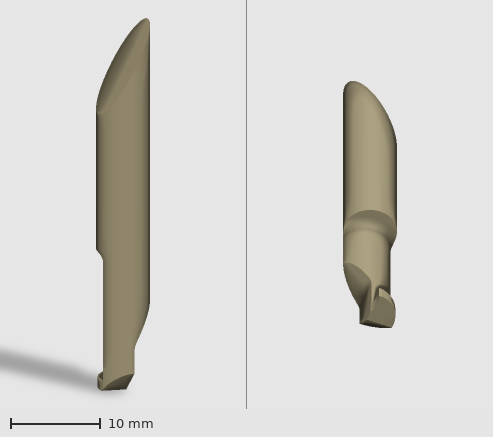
import cadquery as cq
import math


SHANK_RADIUS = 3.0
TOTAL_HEIGHT = 42.44
TOP_ANGLE = math.radians(60)
BIG = 3 * SHANK_RADIUS

NECK_AXIS_X = 2.05
NECK_RADIUS = SHANK_RADIUS
NECK_EDGE_X = NECK_AXIS_X / 2
SHOULDER_Z = 16.15
SHOULDER_FILLET = 1.0
FOOT_FILLET = 0.15

FLAT_Y = 0.17
FLAT_TOP_Z = 5.55
RUNOUT_ANGLE = math.radians(30)
RUNOUT_CORNER_RADIUS = 2.0

FOOT_CHAMFER = 2.45

FOOT_HEIGHT = 1.5
CLEARANCE_ANGLE = math.radians(4)
LAND_DEPTH = 0.32
TIP_FLANK_RADIUS = SHANK_RADIUS
FOOT_FLANK_RADIUS = 3.5
JOINT_X = -1.1
JOINT_FLANK_Y = -2.6

GROOVE_RADIUS = 3.0
GROOVE_AXIS_X = -2.0
GROOVE_RUNOUT = 0.3
FOOT_ZONE_TOP = FOOT_HEIGHT + GROOVE_RUNOUT


def through_x(points):
    """Prism over a closed outline of (Y, Z) points, reaching across the tool along X."""
    return cq.Workplane("YZ").polyline(points).close().extrude(BIG, both=True)


def through_y(points):
    """Prism over a closed outline of (X, Z) points, reaching across the tool along Y."""
    return cq.Workplane("XZ").polyline(points).close().extrude(BIG, both=True)


def foot_zone(right_x):
    """Block around the foot, from well below it to just above it, ending at the plane X = right_x."""
    block = cq.Workplane().box(2 * BIG, 2 * BIG, BIG + FOOT_ZONE_TOP, centered=(False, True, False))
    return block.translate((right_x - 2 * BIG, 0, -BIG))


def below_foot_top():
    """Everything below the foot's top face, which falls toward -Y."""
    taper = BIG * math.tan(CLEARANCE_ANGLE)
    return through_x([
        (BIG, FOOT_HEIGHT + taper),
        (-BIG, FOOT_HEIGHT - taper),
        (-BIG, -BIG),
        (BIG, -BIG),
    ])


def top_cutter():
    """Everything above the sloped top face, which is highest at +Y."""
    drop = (SHANK_RADIUS + BIG) * math.tan(TOP_ANGLE)
    return through_x([
        (SHANK_RADIUS, TOTAL_HEIGHT),
        (-BIG, TOTAL_HEIGHT - drop),
        (-BIG, TOTAL_HEIGHT + BIG),
        (SHANK_RADIUS, TOTAL_HEIGHT + BIG),
    ])


def neck_cutter():
    """Ring around the neck axis, rounded where the neck runs into the shoulder and the foot."""
    ring = (
        cq.Workplane("XZ")
        .moveTo(NECK_RADIUS, 0)
        .lineTo(NECK_RADIUS, SHOULDER_Z - SHOULDER_FILLET)
        .radiusArc((NECK_RADIUS + SHOULDER_FILLET, SHOULDER_Z), SHOULDER_FILLET)
        .lineTo(NECK_RADIUS + BIG, SHOULDER_Z)
        .lineTo(NECK_RADIUS + BIG, 0)
        .close()
        .revolve(360, (0, 0, 0), (0, 1, 0))
        .translate((NECK_AXIS_X, 0, 0))
        .cut(below_foot_top())
    )
    foot_edge = cq.selectors.NearestToPointSelector((NECK_AXIS_X, 0, FOOT_HEIGHT))
    return ring.edges(foot_edge).fillet(FOOT_FILLET)


def back_cutter():
    """Material behind the flat, with its sloped run-out toward +Y."""
    rise = (BIG - FLAT_Y) / math.tan(RUNOUT_ANGLE)
    cutter = through_x([
        (FLAT_Y, -BIG),
        (FLAT_Y, FLAT_TOP_Z),
        (BIG, FLAT_TOP_Z + rise),
        (BIG, -BIG),
    ])
    corner = cq.selectors.NearestToPointSelector((0, FLAT_Y, FLAT_TOP_Z))
    return cutter.edges(corner).fillet(RUNOUT_CORNER_RADIUS)


def chamfer_cutter():
    """Corner below the 45 degree chamfer."""
    return through_y([
        (SHANK_RADIUS, FOOT_CHAMFER),
        (SHANK_RADIUS - FOOT_CHAMFER - BIG, -BIG),
        (BIG, -BIG),
        (BIG, FOOT_CHAMFER),
    ])


def underside_cutter():
    """Everything below the underside, which rises from Z = 0 at the cutting edge toward -Y."""
    rise = BIG * math.tan(CLEARANCE_ANGLE)
    return through_x([(BIG, 0), (0, 0), (-BIG, rise), (-BIG, -BIG), (BIG, -BIG)])


def flank_cutter():
    """Everything around the foot that lies outside its flanks."""
    edge_y = -math.sqrt(SHANK_RADIUS**2 - NECK_EDGE_X**2)
    blade = (
        cq.Workplane()
        .workplane(offset=-BIG)
        .moveTo(-SHANK_RADIUS, BIG)
        .lineTo(-SHANK_RADIUS, -LAND_DEPTH)
        .radiusArc((JOINT_X, JOINT_FLANK_Y), -TIP_FLANK_RADIUS)
        .radiusArc((NECK_EDGE_X, edge_y), -FOOT_FLANK_RADIUS)
        .lineTo(NECK_EDGE_X, BIG)
        .close()
        .extrude(BIG + FOOT_ZONE_TOP)
    )
    return foot_zone(NECK_EDGE_X).cut(blade)


def groove_cutter():
    """Upright cylinder through the cutting edge, with a 45 degree upper end."""
    axis_y = math.sqrt(GROOVE_RADIUS**2 - (SHANK_RADIUS + GROOVE_AXIS_X) ** 2)
    return (
        cq.Workplane()
        .center(GROOVE_AXIS_X, axis_y)
        .circle(GROOVE_RADIUS)
        .extrude(FOOT_ZONE_TOP)
        .faces(">Z")
        .chamfer(GROOVE_RUNOUT)
    )


def make_blank():
    """Whole tool before it is parted into shank and tip; the tip corner is squared out to -X."""
    tip_stock = cq.Workplane().rect(2 * SHANK_RADIUS, 2 * SHANK_RADIUS).extrude(FOOT_ZONE_TOP)
    tip_stock = tip_stock.intersect(foot_zone(JOINT_X)).intersect(below_foot_top())
    blank = cq.Workplane().circle(SHANK_RADIUS).extrude(TOTAL_HEIGHT).union(tip_stock)
    cutters = [
        top_cutter(),
        neck_cutter(),
        back_cutter(),
        chamfer_cutter(),
        underside_cutter(),
        flank_cutter(),
        groove_cutter(),
    ]
    for cutter in cutters:
        blank = blank.cut(cutter)
    return blank


blank = make_blank()
shank = blank.cut(foot_zone(JOINT_X)).solids()
cutting_tip = blank.intersect(foot_zone(JOINT_X)).solids()

result = cq.Compound.makeCompound([shank.val(), cutting_tip.val()])